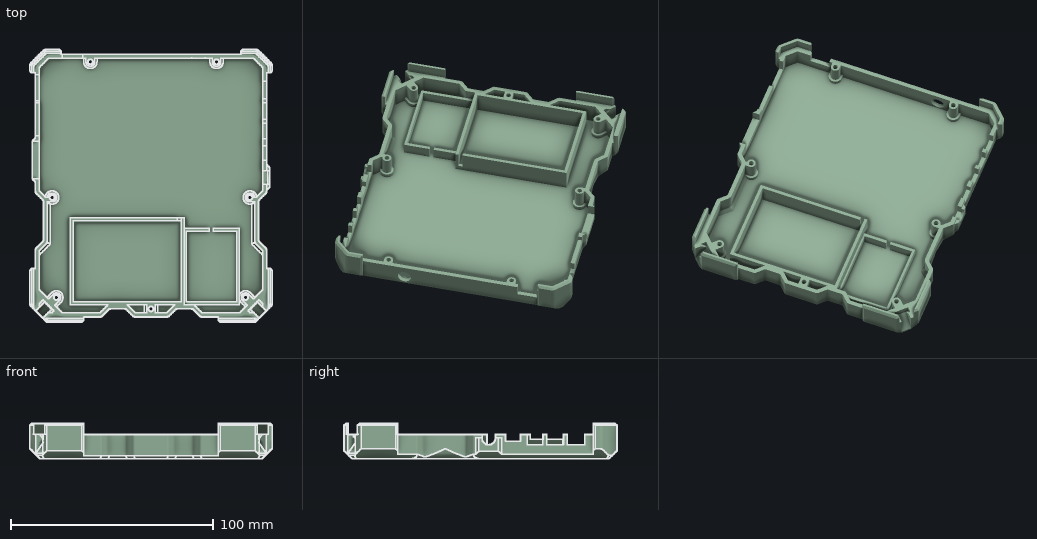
import cadquery as cq
import math

length_x = 120.0
length_y = 135.0
lip_top = 17.5
half_x = length_x / 2
half_y = length_y / 2

bumper_side_depth = 2.75
bumper_end_depth = 2.5
wall = 2.0
floor_z = 1.5
wall_top = 12.0
body_x = half_x - bumper_side_depth
body_y = half_y - bumper_end_depth
inner_x = body_x - wall
inner_y = body_y - wall
edge_break = 1.5
tall = 2 * lip_top

side_chamfer = 5.0
end_chamfer = 4.0
diagonal_chamfer = 1.75

diagonal_outset = math.sqrt(2)
rear_outer_sum = 120.0
front_outer_sum = 119.0
rear_inner_sum = rear_outer_sum - (bumper_end_depth + wall) * diagonal_outset
front_inner_sum = 106.7
rear_corner_radius = 3.0

lip_thickness = 2.0
bumper_break = 1.0
rear_bumper_x = 44.5
rear_bumper_y = 55.7
front_bumper_x = 33.2
front_bumper_y = 41.0

waist_y = -17.4
waist_half = 10.0
notch_x = 16.5
notch_half = 4.0
recess_depth = 4.0
slant_width = 1.5
slant_height = 1.75
grip_radius = 22.0
grip_round = 5.0

screw_diameter = 2.4
boss_diameter = 4.4
boss_base_diameter = 6.6
boss_base_top = 3.5
rear_boss_y = 61.2
rear_boss_xs = (-30.0, 32.4)
waist_boss = (48.9, -5.9)
corner_boss = (46.8, -55.3)
front_boss_y = -61.0

box_wall = 1.5
box_front = -59.0
large_box_x = (-40.0, 16.5)
large_box_rear = -16.0
large_gap_z = 4.0
small_box_x = (16.3, 43.7)
small_box_rear = -21.1
small_box_top = 7.0
small_box_side = 1.2
small_gap_x = 28.8
wire_gap = 2.0

shroud_depth = 1.5
left_shroud_y = (3.3, 22.0)
left_shroud_top = 6.7
right_slots = ((51.5, 43.0, 7.0), (41.0, 32.8, 7.0), (30.9, 23.2, 7.0), (19.7, 12.4, 8.7))
jack_y = 4.05
jack_diameter = 6.6
jack_z = 10.3
jack_shroud_half = 4.85
jack_shroud_wall = 1.0
jack_seat_z = 7.0
rear_slot_x = (-43.8, -33.8)
rear_slot_z = 7.0
rear_hole = (23.5, 5.8)
rear_hole_diameter = 6.6
left_slot_y = (40.9, 54.8)
left_slot_z = 4.7
left_slot_corner = 1.0
left_step_y = (24.7, 40.9)
left_step_z = 9.7

anchor_offset = corner_boss[0] + corner_boss[1]
anchor_width = 5.0
anchor_inner = 77.7
anchor_ramp_foot = 2.7
anchor_groove_width = 7.6
anchor_groove_depth = 3.4

rear_half = cq.selectors.BoxSelector((-length_x, 0, -tall), (length_x, length_y, tall))


def block(x_range, y_range, z_range):
    """Box spanning the given ranges."""
    sizes = [abs(r[1] - r[0]) for r in (x_range, y_range, z_range)]
    corner = [min(r) for r in (x_range, y_range, z_range)]
    return cq.Workplane("XY").box(*sizes, centered=False).translate(tuple(corner))


def both_sides(solid):
    """The solid together with its mirror image across the YZ plane."""
    return solid.union(solid.mirror("YZ"))


def clipped_rectangle(hx, hy, rear_sum, front_sum, height):
    """Rectangular prism with its four corners clipped at 45 degrees."""
    half = [
        (front_sum - hy, -hy),
        (hx, hx - front_sum),
        (hx, rear_sum - hx),
        (rear_sum - hy, hy),
    ]
    mirrored = [(-x, y) for x, y in reversed(half)]
    return cq.Workplane("XY").polyline(half + mirrored).close().extrude(height)


def recess(face, centre, half_width, grow, z0, height, taper=0):
    """Trapezoid prism with 45 degree flanks cutting into a +X face, all sides moved out by grow."""
    depth = recess_depth + grow
    reach = 2 * depth
    half_width += grow * math.tan(math.pi / 8)
    points = [
        (face - depth, centre - half_width),
        (face - depth, centre + half_width),
        (face - depth + reach, centre + half_width + reach),
        (face - depth + reach, centre - half_width - reach),
    ]
    plane = cq.Workplane("XY").workplane(offset=z0)
    return plane.polyline(points).close().extrude(height, taper=taper)


def waist_recess(grow, z0, height, taper=0):
    """Recess of the right-hand waist."""
    return recess(body_x, waist_y, waist_half, grow, z0, height, taper)


def notch_recess(grow, z0, height, taper=0):
    """Recess of the right-hand front notch."""
    notch = recess(body_y, notch_x, notch_half, grow, z0, height, taper)
    return notch.rotate((0, 0, 0), (0, 0, 1), -90)


def make_body():
    """Walled body, still solid, with waists, notches and softened vertical edges."""
    sum_drop = bumper_end_depth * diagonal_outset
    body = clipped_rectangle(body_x, body_y, rear_outer_sum - sum_drop, front_outer_sum, wall_top)
    body = body.cut(both_sides(waist_recess(0, 0, wall_top)))
    body = body.cut(both_sides(notch_recess(0, 0, wall_top)))
    return body.edges("|Z").fillet(edge_break)


def shroud(y_range, top):
    """Connector shroud standing out of the right wall, with 45 degree ends."""
    y0, y1 = y_range
    points = [
        (inner_x, y0 - shroud_depth),
        (body_x, y0 - shroud_depth),
        (body_x + shroud_depth, y0),
        (body_x + shroud_depth, y1),
        (body_x, y1 + shroud_depth),
        (inner_x, y1 + shroud_depth),
    ]
    return cq.Workplane("XY").polyline(points).close().extrude(top)


def bumper_gap(half_gap, face):
    """Prism removing the stretch between two bumpers on a +Y face, leaving 45 degree ends."""
    over = 2 * bumper_break
    points = [
        (-half_gap, 0),
        (half_gap, 0),
        (half_gap, face - bumper_break),
        (half_gap + over, face - bumper_break + over),
        (-half_gap - over, face - bumper_break + over),
        (-half_gap, face - bumper_break),
    ]
    return cq.Workplane("XY").polyline(points).close().extrude(lip_top)


def make_bumpers():
    """Four corner blocks reaching up to the top of the lips."""
    bumpers = clipped_rectangle(half_x, half_y, rear_outer_sum, front_outer_sum, lip_top)
    bumpers = bumpers.edges("|Z").edges(rear_half).fillet(rear_corner_radius)
    bumpers = bumpers.faces(">Z").chamfer(bumper_break)
    bumpers = bumpers.cut(bumper_gap(rear_bumper_x, half_y))
    bumpers = bumpers.cut(bumper_gap(front_bumper_x, half_y).mirror("XZ"))
    side_half = (rear_bumper_y + front_bumper_y) / 2
    side_centre = (rear_bumper_y - front_bumper_y) / 2
    side_gap = bumper_gap(side_half, half_x).rotate((0, 0, 0), (0, 0, 1), -90)
    return bumpers.cut(both_sides(side_gap.translate((0, side_centre, 0))))


def make_envelope():
    """Block with 45 degree lower edges that trims the whole outside."""
    envelope = cq.Workplane("XY").box(length_x, length_y, lip_top, centered=(True, True, False))
    envelope = envelope.faces("<Z").edges("|Y").chamfer(side_chamfer)
    envelope = envelope.faces("<Z").edges("|X").chamfer(end_chamfer)
    corners = clipped_rectangle(half_x, half_y, rear_outer_sum, front_outer_sum, lip_top)
    return envelope.intersect(corners.faces("<Z").chamfer(diagonal_chamfer))


def grip_scoop():
    """Cutter rounding the lower edge of the right waist along an arc in plan."""
    profile = (
        cq.Workplane("XZ")
        .lineTo(grip_radius + grip_round, 0)
        .radiusArc((grip_radius, grip_round), grip_round)
        .lineTo(0, grip_round)
        .close()
    )
    scoop = profile.revolve(360, (0, 0, 0), (0, 1, 0))
    return scoop.translate((body_x - recess_depth + grip_radius, waist_y, 0))


def make_outer():
    """Complete outside shape before hollowing."""
    outer = make_body().union(make_bumpers())
    jack_range = (jack_y - jack_shroud_half, jack_y + jack_shroud_half)
    outer = outer.union(shroud(jack_range, jack_z))
    outer = outer.union(shroud(left_shroud_y, wall_top).mirror("YZ"))
    outer = outer.intersect(make_envelope())
    notch_chamfer = end_chamfer - bumper_end_depth
    outer = outer.cut(both_sides(notch_recess(notch_chamfer, 0, notch_chamfer, 45)))
    return outer.cut(both_sides(grip_scoop()))


def waist_slant():
    """Sloping foot of the right waist wall, present only in front of the waist boss."""
    angle = math.degrees(math.atan2(slant_width, slant_height))
    slant = waist_recess(wall + slant_width, floor_z, slant_height, angle)
    return slant.cut(block((0, length_x), (waist_boss[1], half_y), (0, wall_top)))


def make_cavity():
    """Inside space above the floor, following the waists and notches."""
    cavity = clipped_rectangle(inner_x, inner_y, rear_inner_sum, front_inner_sum, tall)
    cavity = cavity.translate((0, 0, floor_z))
    waist = waist_recess(wall, 0, 2 * tall).edges("|Z").fillet(edge_break + wall)
    cavity = cavity.cut(both_sides(waist.union(waist_slant())))
    return cavity.cut(both_sides(notch_recess(wall, 0, 2 * tall)))


def make_lip_space():
    """Space above the walls, enclosed by the bumper lips and open at the front corners."""
    sum_drop = lip_thickness * diagonal_outset
    space = clipped_rectangle(
        half_x - lip_thickness,
        half_y - lip_thickness,
        rear_outer_sum - sum_drop,
        front_outer_sum,
        lip_top,
    )
    space = space.edges("|Z").edges(rear_half).fillet(rear_corner_radius - lip_thickness)
    return space.translate((0, 0, wall_top))


def boss(x, y, webs):
    """Screw boss with a wider foot; each web is a (direction in degrees, reach) pair."""
    solid = cq.Workplane("XY")
    for diameter, top in ((boss_diameter, wall_top), (boss_base_diameter, boss_base_top)):
        solid = solid.union(cq.Workplane("XY").circle(diameter / 2).extrude(top - floor_z))
        for direction, reach in webs:
            web = block((0, reach), (-diameter / 2, diameter / 2), (0, top - floor_z))
            solid = solid.union(web.rotate((0, 0, 0), (0, 0, 1), direction))
    return solid.translate((x, y, floor_z))


def boss_layout():
    """Boss positions with the directions and lengths of their webs."""
    rear_reach = inner_y - rear_boss_y + wall / 2
    front_reach = wall + wall / 2
    layout = [(x, rear_boss_y, ((90, rear_reach),)) for x in rear_boss_xs]
    layout.append((0, front_boss_y, ((90, front_reach), (-90, front_reach))))
    corner_reach = 2 * wall
    x, y = corner_boss
    layout.append((x, y, ((-45, corner_reach),)))
    layout.append((-x, y, ((-135, corner_reach),)))
    x, y = waist_boss
    layout.append((x, y, ()))
    layout.append((-x, y, ()))
    return layout


def waist_web():
    """Web from the lower half of the right waist boss to the wall."""
    x, y = waist_boss
    wall_middle = body_x - recess_depth - wall / 2
    return block((x, wall_middle), (y - boss_diameter / 2, y), (floor_z, wall_top))


def compartment(x_range, rear, top, side_wall):
    """Open box standing on the floor."""
    outside = block(x_range, (box_front, rear), (floor_z, top))
    inside_x = (x_range[0] + side_wall, x_range[1] - side_wall)
    inside = block(inside_x, (box_front + box_wall, rear - box_wall), (floor_z, tall))
    return outside.cut(inside)


def make_compartments():
    """Large and small compartments, each with a wire gap in its rear wall."""
    large = compartment(large_box_x, large_box_rear, wall_top, box_wall)
    gap_end = large_box_x[1] - box_wall
    large_wall_y = (large_box_rear - box_wall, large_box_rear)
    large = large.cut(block((gap_end - wire_gap, gap_end), large_wall_y, (large_gap_z, tall)))
    small = compartment(small_box_x, small_box_rear, small_box_top, small_box_side)
    small_wall_y = (small_box_rear - box_wall, small_box_rear)
    small = small.cut(block((small_gap_x, small_gap_x + wire_gap), small_wall_y, (floor_z, tall)))
    return large.union(small)


def left_openings():
    """Openings in the left wall: deep slot, shallow step and low shroud."""
    wall_x = (-half_x, -inner_x)
    slot = block(wall_x, left_slot_y, (left_slot_z, tall))
    slot = slot.edges("|X and <Z and <Y").chamfer(left_slot_corner)
    step = block(wall_x, left_step_y, (left_step_z, tall))
    ledge = block(wall_x, left_shroud_y, (left_shroud_top, tall))
    return slot.union(step).union(ledge)


def right_openings():
    """Connector slots, plus the jack seat with its round bore through the shroud."""
    wall_x = (inner_x, half_x)
    radius = jack_diameter / 2
    seat_x = (inner_x, body_x + shroud_depth - jack_shroud_wall)
    openings = block(seat_x, (jack_y - radius, jack_y + radius), (jack_seat_z, tall))
    bore = cq.Workplane("YZ").center(jack_y, jack_z).circle(radius).extrude(half_x - inner_x)
    openings = openings.union(bore.translate((inner_x, 0, 0)))
    for rear, front, bottom in right_slots:
        openings = openings.union(block(wall_x, (front, rear), (bottom, tall)))
    return openings


def rear_openings():
    """Slot and round hole through the rear wall."""
    slot = block(rear_slot_x, (inner_y, half_y), (rear_slot_z, tall))
    plane = cq.Workplane("XZ", origin=(0, half_y, 0))
    hole = plane.center(*rear_hole).circle(rear_hole_diameter / 2).extrude(half_y - inner_y)
    return slot.union(hole)


def diagonal_prism(points, width):
    """Prism with a (distance along the diagonal, z) profile, centred on the right anchor."""
    prism = cq.Workplane("XZ").polyline(points).close().extrude(width / 2, both=True)
    prism = prism.rotate((0, 0, 0), (0, 0, 1), -45)
    return prism.translate((anchor_offset / 2, anchor_offset / 2, 0))


def anchor_cut():
    """Ramped channel, cross groove and lip gap of the right lanyard anchor."""
    face = front_outer_sum / math.sqrt(2)
    beyond = face + wall
    ramp_head = anchor_ramp_foot + face - anchor_inner
    channel = diagonal_prism(
        [
            (anchor_inner, tall),
            (anchor_inner, ramp_head),
            (face, anchor_ramp_foot),
            (beyond, anchor_ramp_foot),
            (beyond, tall),
        ],
        anchor_width,
    )
    groove = diagonal_prism(
        [
            (anchor_inner, wall_top),
            (anchor_inner, wall_top - anchor_groove_depth),
            (anchor_inner + anchor_groove_depth, wall_top),
        ],
        anchor_groove_width,
    )
    groove = groove.intersect(block((0, inner_x), (-inner_y, 0), (0, tall)))
    lip_gap = diagonal_prism(
        [(anchor_inner, wall_top), (beyond, wall_top), (beyond, tall), (anchor_inner, tall)],
        anchor_groove_width,
    )
    return channel.union(groove).union(lip_gap)


def make_case():
    """Finished half shell."""
    case = make_outer().cut(make_cavity()).cut(make_lip_space())
    case = case.union(make_compartments())
    case = case.union(both_sides(waist_web()))
    bosses = boss_layout()
    for x, y, webs in bosses:
        case = case.union(boss(x, y, webs))
    screw = cq.Workplane("XY").circle(screw_diameter / 2).extrude(tall)
    for x, y, _ in bosses:
        case = case.cut(screw.translate((x, y, 0)))
    case = case.cut(left_openings()).cut(right_openings()).cut(rear_openings())
    return case.cut(both_sides(anchor_cut()))


result = make_case()